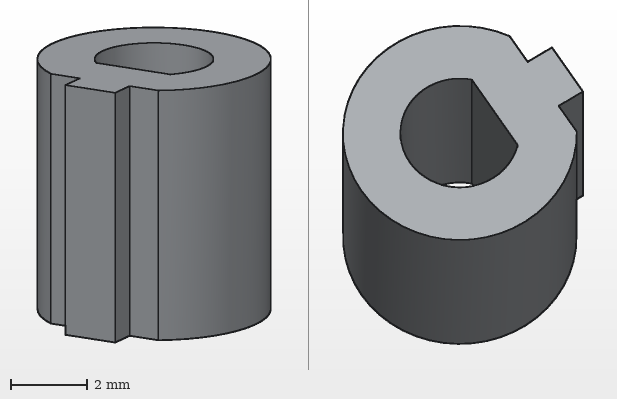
import cadquery as cq

height = 6.8
outer_diameter = 6.13
outer_flat_distance = 2.6
bore_diameter = 3.115
bore_flat_distance = 1.09
key_width = 1.5
total_depth = 6.42

outer_radius = outer_diameter / 2
bore_radius = bore_diameter / 2
key_face_distance = total_depth - outer_radius


def d_shaped_prism(radius, flat_distance):
    """Vertical cylinder cut by a flat on its -Y side."""
    cylinder = cq.Workplane("XY").circle(radius).extrude(height)
    kept_side = (
        cq.Workplane("XY")
        .rect(2 * radius, radius + flat_distance)
        .extrude(height)
        .translate((0, (radius - flat_distance) / 2, 0))
    )
    return cylinder.intersect(kept_side)


def key():
    """Full-height rib that starts inside the sleeve wall and stands out from the flat."""
    root_distance = (bore_flat_distance + outer_flat_distance) / 2
    return (
        cq.Workplane("XY")
        .rect(key_width, key_face_distance - root_distance)
        .extrude(height)
        .translate((0, -(key_face_distance + root_distance) / 2, 0))
    )


sleeve = d_shaped_prism(outer_radius, outer_flat_distance)
bore = d_shaped_prism(bore_radius, bore_flat_distance)
result = sleeve.union(key()).cut(bore)